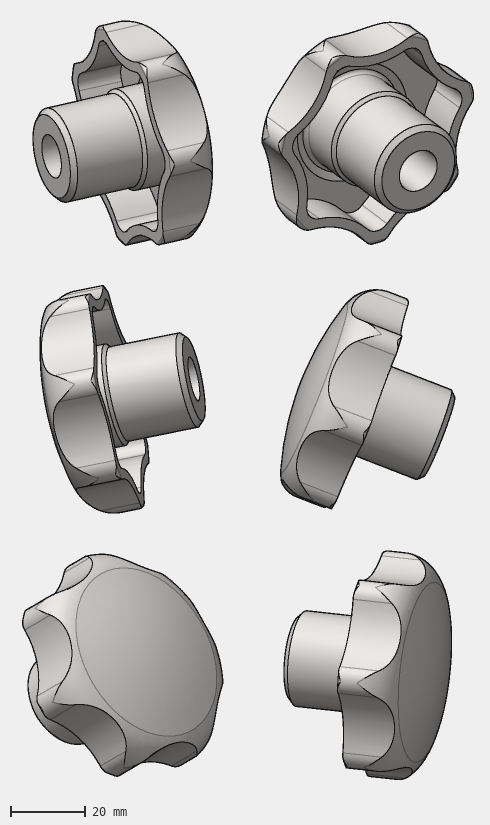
import cadquery as cq
import math

LOBES = 7
PITCH = 2 * math.pi / LOBES
FIRST_LOBE = -math.pi / 2
TIP_RADIUS = 31.5
LOBE_ROUND = 4.6
WAIST_RADIUS = 26.15

HEAD_HEIGHT = 19.05
DOME_RADIUS = 24.4
DOME_EDGE_HEIGHT = 15.3
RIM_ROUND = 1.0

POCKET_TIP_RADIUS = 27.4
POCKET_LOBE_ROUND = 4.25
POCKET_WAIST_RADIUS = 23.25
POCKET_DEPTH = 12.8

STEM_RADIUS = 26.0 / 2
STEM_LENGTH = 20.95
STEM_CHAMFER = 1.5
COLLAR_RADIUS = 28.0 / 2
COLLAR_CHAMFER = COLLAR_RADIUS - STEM_RADIUS
GROOVE_OUTER_RADIUS = 17.4
GROOVE_FLOOR_RADIUS = 15.15
GROOVE_DEPTH = 0.85
ROOT_FILLET = GROOVE_FLOOR_RADIUS - COLLAR_RADIUS

BORE_DIAMETER = 12.0
BORE_DEPTH = 27.75


def polar(radius, angle):
    return (radius * math.cos(angle), radius * math.sin(angle))


def between(start, end, fraction):
    return tuple(a + (b - a) * fraction for a, b in zip(start, end))


def star_prism(tip_radius, lobe_round, waist_radius, height):
    """Prism from Y = 0 to height; each hollow arc is tangent to both neighbouring lobe arcs."""
    lobe_distance = tip_radius - lobe_round
    across = lobe_distance * math.sin(PITCH / 2)
    gap = waist_radius - lobe_distance * math.cos(PITCH / 2)
    hollow_radius = (across**2 + gap**2 - lobe_round**2) / (2 * (lobe_round - gap))
    hollow_distance = waist_radius + hollow_radius
    tangent_fraction = lobe_round / (lobe_round + hollow_radius)

    def tangent_point(lobe_angle, side):
        lobe_center = polar(lobe_distance, lobe_angle)
        hollow_center = polar(hollow_distance, lobe_angle + side * PITCH / 2)
        return between(lobe_center, hollow_center, tangent_fraction)

    outline = cq.Workplane("XZ").moveTo(*tangent_point(FIRST_LOBE, -1))
    for index in range(LOBES):
        angle = FIRST_LOBE + index * PITCH
        outline = outline.threePointArc(polar(tip_radius, angle), tangent_point(angle, 1))
        waist = polar(waist_radius, angle + PITCH / 2)
        outline = outline.threePointArc(waist, tangent_point(angle + PITCH, -1))
    return outline.close().extrude(-height)


def revolve_about_y(profile):
    return profile.close().revolve(360, (0, 0, 0), (0, 1, 0))


def head_envelope():
    """Domed disc whose shoulder arc is tangent to the dome and to the cylindrical side."""
    dome_rise = HEAD_HEIGHT - DOME_EDGE_HEIGHT
    sphere_radius = (DOME_RADIUS**2 + dome_rise**2) / (2 * dome_rise)
    edge_angle = math.asin(DOME_RADIUS / sphere_radius)
    shoulder_radius = (TIP_RADIUS - DOME_RADIUS) / (1 - math.sin(edge_angle))
    shoulder_x = TIP_RADIUS - shoulder_radius
    shoulder_y = DOME_EDGE_HEIGHT - shoulder_radius * math.cos(edge_angle)
    sphere_y = HEAD_HEIGHT - sphere_radius
    shoulder_dx, shoulder_dy = polar(shoulder_radius, math.pi / 4 - edge_angle / 2)
    dome_dx, dome_dy = polar(sphere_radius, math.pi / 2 - edge_angle / 2)
    rim_offset = RIM_ROUND * (1 - math.sqrt(0.5))
    profile = (
        cq.Workplane("XY")
        .lineTo(TIP_RADIUS - RIM_ROUND, 0)
        .threePointArc((TIP_RADIUS - rim_offset, rim_offset), (TIP_RADIUS, RIM_ROUND))
        .lineTo(TIP_RADIUS, shoulder_y)
        .threePointArc((shoulder_x + shoulder_dx, shoulder_y + shoulder_dy), (DOME_RADIUS, DOME_EDGE_HEIGHT))
        .threePointArc((dome_dx, sphere_y + dome_dy), (0, HEAD_HEIGHT))
    )
    return revolve_about_y(profile)


def underside_groove():
    depth = POCKET_DEPTH + GROOVE_DEPTH
    profile = (
        cq.Workplane("XY")
        .moveTo(0, POCKET_DEPTH)
        .lineTo(GROOVE_OUTER_RADIUS, POCKET_DEPTH)
        .lineTo(GROOVE_FLOOR_RADIUS, depth)
        .lineTo(0, depth)
    )
    return revolve_about_y(profile)


def stem():
    root = POCKET_DEPTH + GROOVE_DEPTH
    fillet_offset = ROOT_FILLET * (1 - math.sqrt(0.5))
    profile = (
        cq.Workplane("XY")
        .moveTo(0, -STEM_LENGTH)
        .lineTo(STEM_RADIUS - STEM_CHAMFER, -STEM_LENGTH)
        .lineTo(STEM_RADIUS, STEM_CHAMFER - STEM_LENGTH)
        .lineTo(STEM_RADIUS, 0)
        .lineTo(COLLAR_RADIUS, COLLAR_CHAMFER)
        .lineTo(COLLAR_RADIUS, root - ROOT_FILLET)
        .threePointArc(
            (COLLAR_RADIUS + fillet_offset, root - fillet_offset),
            (GROOVE_FLOOR_RADIUS, root),
        )
        .lineTo(0, root)
    )
    return revolve_about_y(profile)


head = star_prism(TIP_RADIUS, LOBE_ROUND, WAIST_RADIUS, HEAD_HEIGHT).intersect(head_envelope())
pocket = star_prism(POCKET_TIP_RADIUS, POCKET_LOBE_ROUND, POCKET_WAIST_RADIUS, POCKET_DEPTH)
bore = cq.Workplane("XZ", origin=(0, -STEM_LENGTH, 0)).circle(BORE_DIAMETER / 2).extrude(-BORE_DEPTH)

result = head.cut(pocket).cut(underside_groove()).union(stem()).cut(bore)